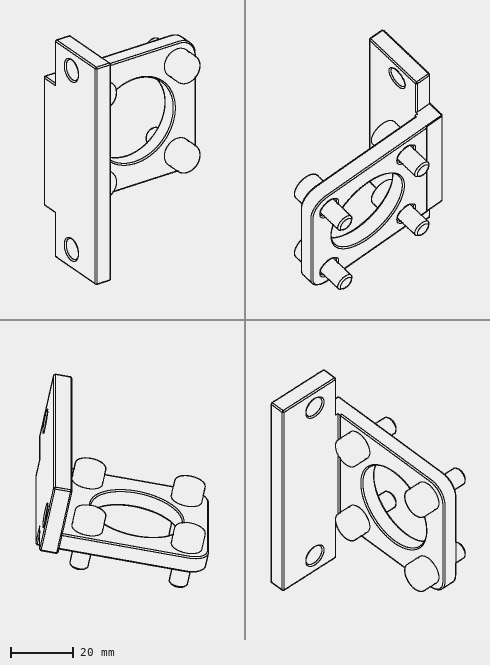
import cadquery as cq


foot_height = 79.0
foot_thickness = 6.0
foot_end_x = 29.95
ear_start_x = 6.5
edge_chamfer = 0.5

flange_top_y = 55.5
flange_thickness = 5.7
flange_height = 47.0
flange_corner_radius = 6.5
shoulder_top_y = 7.0
shoulder_offset = 0.2

bore_diameter = 30.0
bore_center_y = 32.0
clearance_diameter = 7.0
foot_hole_inset = 14.0
foot_hole_spacing = 65.0
screw_spacing = 32.5

shank_diameter = 6.0
shank_length = 14.0
tip_chamfer = 0.6
head_diameter = 10.0
head_height = 6.0
head_edge_radius = 0.55


def block(x_range, y_range, height):
    """Box over the given X and Y ranges, centred on Z = 0."""
    (x_min, x_max), (y_min, y_max) = x_range, y_range
    return cq.Workplane("XY").box(
        x_max - x_min, y_max - y_min, height, centered=(False, False, True)
    ).translate((x_min, y_min, 0))


def chamfered_hole(plane, center, diameter, depth):
    """Cutter for a through hole with both rims chamfered, starting at the plane."""
    radius = diameter / 2
    rim_radius = radius + edge_chamfer
    profile = [
        (0, 0),
        (rim_radius, 0),
        (radius, edge_chamfer),
        (radius, depth - edge_chamfer),
        (rim_radius, depth),
        (0, depth),
    ]
    cutter = cq.Workplane("XY").polyline(profile).close().revolve(360, (0, 0, 0), (0, 1, 0))
    if plane == "flange":
        return cutter.rotate((0, 0, 0), (0, 0, 1), -90).translate((0, *center))
    return cutter.translate((center[0], 0, center[1]))


screw_centers = [
    (bore_center_y + side_y * screw_spacing / 2, side_z * screw_spacing / 2)
    for side_y in (-1, 1)
    for side_z in (-1, 1)
]


def make_bracket():
    foot = block((ear_start_x, foot_end_x), (0, foot_thickness), foot_height)
    foot = foot.edges().chamfer(edge_chamfer)

    flange = block((0, flange_thickness), (0, flange_top_y), flange_height)
    flange = flange.edges(">Y and |X").fillet(flange_corner_radius)
    flange = flange.faces("<X or >X").edges("not <Y").chamfer(edge_chamfer)
    flange = flange.cut(block((0, flange_thickness), (0, shoulder_top_y), flange_height))

    shoulder_end_x = shoulder_offset + flange_thickness
    shoulder = block((shoulder_offset, shoulder_end_x), (0, shoulder_top_y), flange_height)
    tongue = block((shoulder_offset, ear_start_x + 2 * edge_chamfer), (0, foot_thickness), flange_height)
    shoulder = shoulder.union(tongue)
    shoulder = shoulder.faces("<Y").edges("<X or |X").chamfer(edge_chamfer)
    shoulder = shoulder.faces("<X").edges("|Y").chamfer(edge_chamfer - shoulder_offset)

    bracket = foot.union(flange).union(shoulder)

    bracket = bracket.cut(
        chamfered_hole("flange", (bore_center_y, 0), bore_diameter, flange_thickness)
    )
    for center in screw_centers:
        bracket = bracket.cut(
            chamfered_hole("flange", center, clearance_diameter, flange_thickness)
        )
    for side in (-1, 1):
        center = (foot_end_x - foot_hole_inset, side * foot_hole_spacing / 2)
        bracket = bracket.cut(chamfered_hole("foot", center, clearance_diameter, foot_thickness))
    return bracket


def make_screw(center):
    """Cap screw along X, its head seated on the inner face of the flange."""
    shank = cq.Workplane("YZ", origin=(flange_thickness - shank_length, *center))
    shank = shank.circle(shank_diameter / 2).extrude(shank_length)
    shank = shank.faces("<X").chamfer(tip_chamfer)

    head = cq.Workplane("YZ", origin=(flange_thickness, *center))
    head = head.circle(head_diameter / 2).extrude(head_height)
    head = head.faces(">X").edges().fillet(head_edge_radius)
    return shank.union(head)


bracket = make_bracket()
screws = [make_screw(center).val() for center in screw_centers]

result = cq.Compound.makeCompound([bracket.val(), *screws])